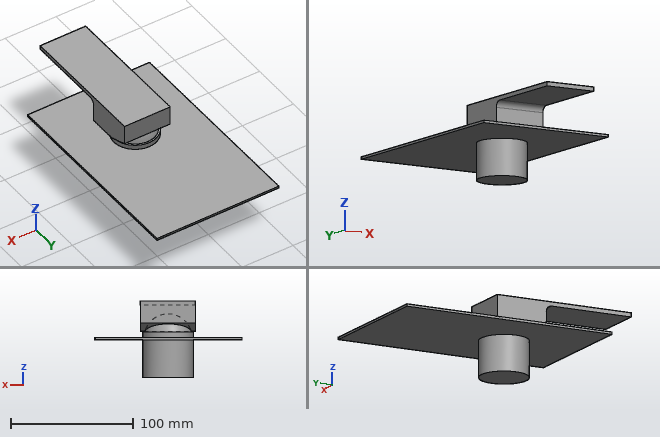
import cadquery as cq
import math

TWIST = 0.25
AXIS_X = 0.2
AXIS_Y = -8.0

VALVE_DIAMETER = 41.7
VALVE_HEIGHT = 37.5

PLATE_WIDTH = 120.0
PLATE_LENGTH = 190.0
PLATE_THICKNESS = 2.0
PLATE_BOTTOM = 31.0
PLATE_OFFSET = 26.7

DOME_BASE_RADIUS = 19.2
DOME_CENTRE_DROP = 5.0
DOME_SPHERE_RADIUS = math.hypot(DOME_BASE_RADIUS, DOME_CENTRE_DROP)

TOP = 63.0
LEVER_WIDTH = 45.0
LEVER_LENGTH = 124.0
LEVER_BACK = 18.0
BLOCK_LENGTH = 45.5
BLOCK_HEIGHT = 25.0
BLADE_THICKNESS = 3.6
BLADE_FILLET = 5.2
BACK_HEIGHT = 18.2
SLOPE_LENGTH = 18.2


def make_valve_body():
    return cq.Workplane("XY").circle(VALVE_DIAMETER / 2).extrude(VALVE_HEIGHT)


def make_plate():
    """Rectangular plate with a hole that fits the valve body."""
    return (
        cq.Workplane("XY", origin=(0, 0, PLATE_BOTTOM))
        .center(0, PLATE_OFFSET)
        .rect(PLATE_WIDTH, PLATE_LENGTH)
        .extrude(PLATE_THICKNESS)
        .cut(make_valve_body())
    )


def make_dome():
    """Spherical cap standing on the top face of the valve body."""
    peak = VALVE_HEIGHT - DOME_CENTRE_DROP + DOME_SPHERE_RADIUS
    arc_angle = math.atan2(DOME_BASE_RADIUS, DOME_CENTRE_DROP) / 2
    arc_middle = (
        DOME_SPHERE_RADIUS * math.sin(arc_angle),
        VALVE_HEIGHT - DOME_CENTRE_DROP + DOME_SPHERE_RADIUS * math.cos(arc_angle),
    )
    return (
        cq.Workplane("XZ")
        .moveTo(0, VALVE_HEIGHT)
        .lineTo(DOME_BASE_RADIUS, VALVE_HEIGHT)
        .threePointArc(arc_middle, (0, peak))
        .close()
        .revolve(360, (0, 0, 0), (0, 1, 0))
    )


def make_lever():
    """Side profile extruded across the width, with a socket for the dome."""
    block_front = LEVER_BACK - BLOCK_LENGTH
    tip = LEVER_BACK - LEVER_LENGTH
    block_bottom = TOP - BLOCK_HEIGHT
    blade_bottom = TOP - BLADE_THICKNESS
    outline = [
        (LEVER_BACK, TOP),
        (tip, TOP),
        (tip, blade_bottom),
        (block_front, blade_bottom),
        (block_front, block_bottom),
        (LEVER_BACK - SLOPE_LENGTH, block_bottom),
        (LEVER_BACK, TOP - BACK_HEIGHT),
    ]
    blank = cq.Workplane("YZ").polyline(outline).close().extrude(LEVER_WIDTH / 2, both=True)
    inner_corner = cq.selectors.NearestToPointSelector((0, block_front, blade_bottom))
    return blank.edges("|X").edges(inner_corner).fillet(BLADE_FILLET).cut(make_dome())


def place(body):
    """Twist a body about the valve axis and move it to its final position."""
    return body.rotate((0, 0, 0), (0, 0, 1), TWIST).translate((AXIS_X, AXIS_Y, 0))


valve_body = place(make_valve_body())
plate = place(make_plate())
dome = place(make_dome())
lever = place(make_lever())

result = cq.Compound.makeCompound([valve_body.val(), plate.val(), dome.val(), lever.val()])